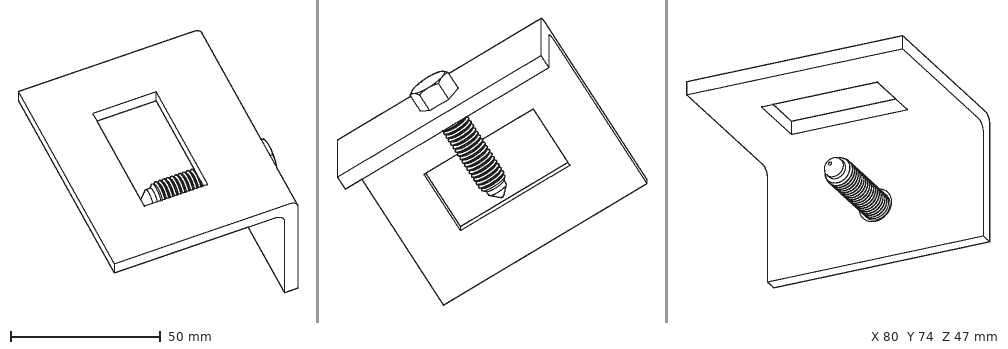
import cadquery as cq
import math

width = 80.0
overall_depth = 74.0
height = 47.0
plate = 5.0
head_height = 7.0
flange_depth = overall_depth - head_height
outer_bend_radius = 3.2
inner_bend_radius = 3.6

window_width = 43.0
window_depth = 23.0
window_front_margin = 19.0

bolt_height = 20.0
bolt_length = 39.8
thread_radius = 5.0
root_radius = 4.2
groove_count = 20
grooved_length = 29.3
pitch = grooved_length / groove_count
crest_flat = 0.2
bevel_start_radius = 4.6
bevel_end_radius = 3.8
bevel_length = bevel_start_radius - bevel_end_radius
end_step = 0.2
dog_radius = 3.5
dog_length = 1.7
tip_radius = 0.6
cone_length = dog_radius - tip_radius
across_flats = 13.0
head_chamfer_angle = math.radians(30)

countersink_radius = 6.0
countersink_depth = countersink_radius - thread_radius


def make_bracket():
    profile = (
        cq.Workplane("YZ")
        .moveTo(0, 0)
        .lineTo(0, height - outer_bend_radius)
        .radiusArc((-outer_bend_radius, height), -outer_bend_radius)
        .lineTo(-flange_depth, height)
        .lineTo(-flange_depth, height - plate)
        .lineTo(-plate - inner_bend_radius, height - plate)
        .radiusArc((-plate, height - plate - inner_bend_radius), inner_bend_radius)
        .lineTo(-plate, 0)
        .close()
    )
    bent_plate = profile.extrude(width / 2, both=True)

    window_center_y = -flange_depth + window_front_margin + window_depth / 2
    window = (
        cq.Workplane("XY")
        .box(window_width, window_depth, 2 * plate)
        .translate((0, window_center_y, height))
    )
    return bent_plate.cut(window).cut(make_bolt_hole())


def make_bolt_hole():
    """Through hole fitting the shank, with a 45 degree countersink at the inner face."""
    return (
        cq.Workplane("XY")
        .polyline([
            (0, 0),
            (thread_radius, 0),
            (thread_radius, countersink_depth - plate),
            (countersink_radius, -plate),
            (0, -plate),
        ])
        .close()
        .revolve(360, (0, 0, 0), (0, 1, 0))
        .translate((0, 0, bolt_height))
    )


def make_shank():
    """Plain inside the plate, then ring grooves, a bevelled thread end, a dog and a cone."""
    dog_start = -bolt_length + cone_length + dog_length
    half_flat = crest_flat / 2

    outline = [(0, 0), (thread_radius, 0)]
    for groove in range(groove_count):
        crest = -plate - groove * pitch
        next_crest = crest - pitch
        outline.append((thread_radius, crest - half_flat))
        outline.append((root_radius, crest - pitch / 2))
        if groove < groove_count - 1:
            outline.append((thread_radius, next_crest + half_flat))
    outline += [
        (bevel_start_radius, dog_start + end_step + bevel_length),
        (bevel_end_radius, dog_start + end_step),
        (dog_radius, dog_start),
        (dog_radius, -bolt_length + cone_length),
        (tip_radius, -bolt_length),
        (0, -bolt_length),
    ]
    return cq.Workplane("XY").polyline(outline).close().revolve(360, (0, 0, 0), (0, 1, 0))


def make_head():
    """Hexagon with corners on +X and -X; its free end is bevelled by a cone."""
    flat_radius = across_flats / 2
    corner_radius = flat_radius / math.cos(math.radians(30))
    bevel = (corner_radius - flat_radius) * math.tan(head_chamfer_angle)
    hexagon = (
        cq.Workplane("XZ")
        .polygon(6, 2 * corner_radius)
        .extrude(-head_height)
    )
    envelope = (
        cq.Workplane("XY")
        .polyline([
            (0, 0),
            (corner_radius, 0),
            (corner_radius, head_height - bevel),
            (flat_radius, head_height),
            (0, head_height),
        ])
        .close()
        .revolve(360, (0, 0, 0), (0, 1, 0))
    )
    return hexagon.intersect(envelope)


def make_bolt():
    return make_head().union(make_shank()).translate((0, 0, bolt_height))


bracket = make_bracket()
bolt = make_bolt()

result = cq.Compound.makeCompound([bracket.val(), bolt.val()])